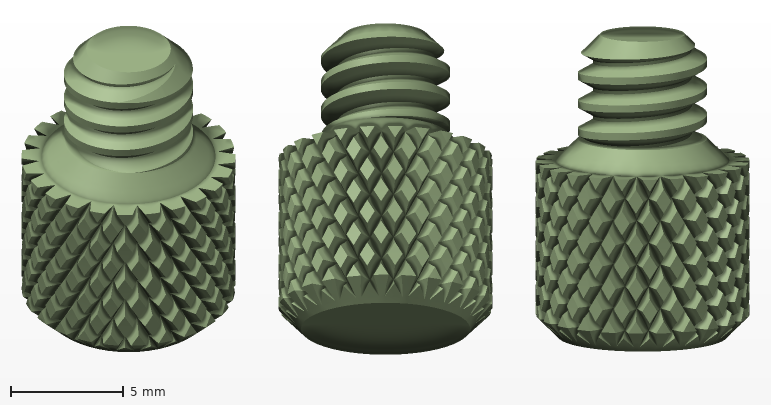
import cadquery as cq
import math

total_height = 13.69
body_top = 7.97
row_count = 8
row_height = body_top / row_count
bevel = row_height
collar_height = bevel
collar_top = body_top + collar_height

body_radius = 4.76
crest_radius = 5.76 / 2
root_radius = 4.41 / 2

groove_count = 24
valley_radius = 4.0
groove_width = 0.57
groove_spacing = 2 * math.pi / groove_count
row_twist = groove_spacing / 2
knurl_margin = 0.68

pitch = 1.26
flank_half_angle = math.radians(30)
root_width = 0.15
first_root_z = 9.54
thread_margin = 0.2
lead_in_turns = 2


def polar_point(radius, angle):
    return (radius * math.cos(angle), radius * math.sin(angle))


def make_knurl_envelope(hand):
    """One row of a twisted star whose inner corners follow the valleys of one set of grooves."""
    cutter_radius = body_radius + knurl_margin
    half_opening = groove_width / 2 * (cutter_radius - valley_radius) / (body_radius - valley_radius)
    outer_half_angle = math.atan2(half_opening, cutter_radius)
    outer_radius = math.hypot(half_opening, cutter_radius)

    points = []
    for i in range(groove_count):
        valley = i * groove_spacing
        points.append(polar_point(outer_radius, valley - outer_half_angle))
        points.append(polar_point(valley_radius, valley))
        points.append(polar_point(outer_radius, valley + outer_half_angle))
    return cq.Workplane("XY").polyline(points).close().twistExtrude(row_height, math.degrees(hand * row_twist))


def make_knurled_body():
    """Equal knurl rows stacked between their planes of crossings, the lowest one bevelled."""
    row = cq.Workplane("XY").circle(body_radius).extrude(row_height)
    for hand in (1, -1):
        row = row.intersect(make_knurl_envelope(hand))

    bevel_cone = cq.Workplane("XY").circle(body_radius - bevel).workplane(offset=bevel).circle(body_radius).loft()
    skin = []
    for i in range(row_count):
        turn = math.degrees((row_count - i) * row_twist)
        placed = row.rotate((0, 0, 0), (0, 0, 1), turn).translate((0, 0, i * row_height))
        if i == 0:
            placed = placed.intersect(bevel_cone)
            skin += placed.faces("<Z").vals()
        if i == row_count - 1:
            skin += placed.faces(">Z").vals()
        skin += placed.faces("not |Z").vals()
    return cq.Workplane(cq.Solid.makeSolid(cq.Shell.makeShell(skin))).clean()


def make_collar():
    base_radius = crest_radius + collar_height
    collar = cq.Workplane("XY").workplane(offset=body_top).circle(base_radius)
    return collar.workplane(offset=collar_height).circle(crest_radius).loft()


def make_shank():
    """Threaded shank with a bevelled tip."""
    outer = crest_radius + thread_margin
    root_half = root_width / 2
    outer_half = root_half + (outer - root_radius) * math.tan(flank_half_angle)
    start_z = first_root_z - lead_in_turns * pitch
    helix_height = total_height + pitch - start_z
    groove_profile = [
        (root_radius, start_z - root_half),
        (outer, start_z - outer_half),
        (outer, start_z + outer_half),
        (root_radius, start_z + root_half),
    ]
    helix = cq.Wire.makeHelix(pitch, helix_height, root_radius, center=cq.Vector(0, 0, start_z))
    groove = cq.Workplane("XZ").polyline(groove_profile).close().sweep(cq.Workplane(helix), isFrenet=True)
    threaded_rod = cq.Workplane("XY").circle(crest_radius).extrude(start_z + helix_height + pitch).cut(groove)

    envelope_outline = [
        (0, collar_top),
        (crest_radius, collar_top),
        (crest_radius, total_height - bevel),
        (crest_radius - bevel, total_height),
        (0, total_height),
    ]
    envelope = cq.Workplane("XZ").polyline(envelope_outline).close().revolve(360, (0, 0), (0, 1))
    return threaded_rod.intersect(envelope)


result = make_knurled_body().union(make_collar()).union(make_shank())